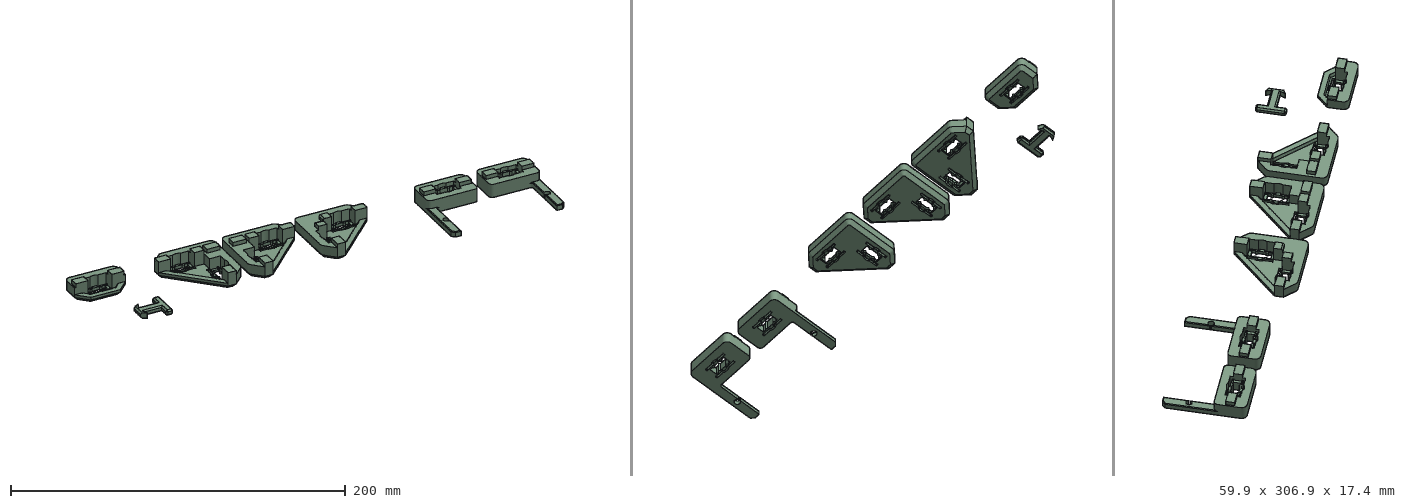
import cadquery as cq
import math

profile_width = 20.0
body_height = 9.1
ridge_height = 2.6
ridge_width = 5.5
groove_axis = profile_width / 2
ridge_near = groove_axis - ridge_width / 2
ridge_far = groove_axis + ridge_width / 2
ridge_inset = 0.95
corner_radius = 3.5
bottom_chamfer = 2.6
floor_height = 2.2
rim_height = 4.4
rim_width = 3.6
rim_overrun = 1.5
rim_slope = 0.6

slot_length = 16.0
slot_width = 9.4
bulge_diameter = 10.8
finger_gap = 1.3
finger_width = 0.9
finger_boss_length = 3.0
finger_boss_depth = 0.9
catch_diameter = 1.5
catch_offset = 3.3
shelf_length = 1.9
shelf_drop = 0.8

arm_block_length = 34.1
end_block_length = 34.5
arm_block_spring_top = body_height - 2.0

arm_reach = 31.51
arm_width = 5.8
arm_height = 3.6
arm_edge_chamfer = 0.5
arm_tip_chamfer = 2.0
arm_side_radius = 1.5
arm_hole_diameter = 3.8
arm_hole_from_block = 15.6
arm_hole_from_outer = 3.95
arm_corner_radius = 2.6

leg_length = 43.5
slot_from_corner = 27.4
spur_clearance = 1.9
spur_end = 1.9

clip_length = 19.5
clip_height = 3.8
bar_length = 18.6
bar_depth = 4.6
bar_chamfer = 1.0
shaft_width = 5.6
shaft_chamfer = 0.9
hook_span = 12.0
hook_nose_width = 8.0
hook_depth = 3.8
nose_chamfer = 1.1
barb_rise = 1.3

arm_block_x = 8.4
arm_block_z = 5.74
set_length = 306.93
front_arm_block_y = 230.7
rear_corner_y = 154.3
middle_corner_y = 105.3
front_corner_outer_y = 100.4
clip_x = 45.3
clip_y = 25.2


def box(x0, x1, y0, y1, z0, z1):
    """A box given by its limits."""
    return cq.Workplane("XY").box(x1 - x0, y1 - y0, z1 - z0, centered=False).translate((x0, y0, z0))


def slot_cutter():
    """The full opening of a clip slot, through floor and ridge."""
    top = body_height + ridge_height
    opening = cq.Workplane("XY").rect(slot_width, slot_length).extrude(top)
    return opening.union(cq.Workplane("XY").circle(bulge_diameter / 2).extrude(top))


def slot_springs(top):
    """Two spring fingers, up to the given top, and two lower cross shelves that hold the clip."""
    half_length = slot_length / 2
    outer = slot_width / 2 - finger_gap
    inner = outer - finger_width
    springs = box(-inner, inner, -half_length, -half_length + shelf_length, 0, top - shelf_drop)
    springs = springs.union(springs.mirror("XZ"))
    for side in (-1, 1):
        finger = cq.Workplane("XY").center(side * (inner + outer) / 2, 0)
        springs = springs.union(finger.rect(finger_width, slot_length).extrude(top))
        boss = cq.Workplane("XY").center(side * (outer + finger_boss_depth / 2), 0)
        springs = springs.union(boss.rect(finger_boss_depth, finger_boss_length).extrude(top))
        catches = cq.Workplane("XY").pushPoints([(side * inner, -catch_offset), (side * inner, catch_offset)])
        springs = springs.union(catches.circle(catch_diameter / 2).extrude(top))
    return springs


def add_slot(body, x, y, turn=0, spring_top=floor_height):
    """Cut a clip slot at (x, y) and put its springs in; turn is in degrees about Z."""
    def place(shape):
        return shape.rotate((0, 0, 0), (0, 0, 1), turn).translate((x, y, 0))
    return body.cut(place(slot_cutter())).union(place(slot_springs(spring_top)))


def open_pocket(outline, rim):
    """Cutter for a pocket open toward a low rim; both arguments are closed lists of points.

    The outline region is removed above the rim top. The rim region is removed down to
    the floor and shrinks by the rim slope on its way down; it reaches beyond the outline
    on the sides that have no rim, so that these sides stay upright.
    """
    full_depth = cq.Workplane("XY").polyline(outline).close().extrude(body_height + ridge_height)
    above_rim = full_depth.cut(cq.Workplane("XY").polyline(outline).close().extrude(rim_height))
    depth = rim_height - floor_height
    taper = math.degrees(math.atan2(rim_slope, depth))
    inside_rim = cq.Workplane("XY").workplane(offset=rim_height).polyline(rim).close()
    inside_rim = inside_rim.extrude(-depth, taper=taper)
    return above_rim.union(inside_rim.intersect(full_depth))


def make_arm_block():
    """Block with a slot and a notched arm along its -Y side; the arm points to +X."""
    block = box(0, profile_width, 0, arm_block_length, 0, body_height)
    block = block.edges("|Z and <X").fillet(corner_radius)
    block = block.edges("|Z and >X").fillet(arm_corner_radius)

    arm_end = profile_width + arm_reach
    arm = (
        cq.Workplane("XY")
        .moveTo(groove_axis, 0)
        .lineTo(arm_end - arm_tip_chamfer, 0)
        .lineTo(arm_end, arm_tip_chamfer)
        .lineTo(arm_end, arm_width)
        .lineTo(profile_width + arm_side_radius, arm_width)
        .radiusArc((profile_width, arm_width + arm_side_radius), arm_side_radius)
        .lineTo(groove_axis, arm_width + arm_side_radius)
        .close()
        .extrude(arm_height)
        .faces(">Z").edges().chamfer(arm_edge_chamfer)
    )
    hole = (
        cq.Workplane("XY")
        .center(profile_width + arm_hole_from_block, arm_hole_from_outer)
        .circle(arm_hole_diameter / 2)
        .extrude(arm_height)
    )
    ridge = box(ridge_near, ridge_far, ridge_inset, arm_block_length - ridge_inset,
                body_height, body_height + ridge_height)
    body = block.union(arm).cut(hole).union(ridge)
    return add_slot(body, groove_axis, arm_block_length / 2, spring_top=arm_block_spring_top)


def make_end_block():
    """Block with one slot; its +X side is bevelled and open down to a low rim."""
    bevel = profile_width - ridge_far
    outline = [
        (0, 0),
        (ridge_far, 0),
        (profile_width, bevel),
        (profile_width, end_block_length - bevel),
        (ridge_far, end_block_length),
        (0, end_block_length),
    ]
    body = cq.Workplane("XY").polyline(outline).close().extrude(body_height)
    body = body.edges("|Z and <X").fillet(corner_radius)
    body = body.faces("<Z").edges().chamfer(bottom_chamfer)
    ridge = box(ridge_near, ridge_far, ridge_inset, end_block_length - ridge_inset,
                body_height, body_height + ridge_height)
    body = body.union(ridge)

    rim_x = profile_width - rim_width
    rim_back = ridge_far - rim_overrun
    rim_start = rim_width * math.sqrt(2) - rim_overrun
    rim_bend = rim_start + rim_x - rim_back
    rim = [
        (rim_back, rim_start),
        (rim_x, rim_bend),
        (rim_x, end_block_length - rim_bend),
        (rim_back, end_block_length - rim_start),
    ]
    body = body.cut(open_pocket(outline[1:5], rim))
    return add_slot(body, groove_axis, end_block_length / 2)


def make_corner(mitred_ridges):
    """Bracket with legs along +X and +Y from a corner at the origin.

    With mitred ridges, each leg has a ridge that stops, sloped, before the corner.
    Otherwise the ridge of the Y leg goes on to the corner and the X leg has only its tip ridge.
    """
    bevel_start = leg_length - ridge_near
    outline = [
        (0, 0),
        (bevel_start, 0),
        (leg_length, ridge_near),
        (leg_length, ridge_far),
        (ridge_far, leg_length),
        (ridge_near, leg_length),
        (0, bevel_start),
    ]
    body = cq.Workplane("XY").polyline(outline).close().extrude(body_height)
    rounded = cq.selectors.BoxSelector((-1, -1, 0), (1, leg_length, body_height))
    rounded += cq.selectors.BoxSelector((0, -1, 0), (bevel_start + 1, 1, body_height))
    body = body.edges("|Z").edges(rounded).fillet(corner_radius)
    body = body.faces("<Z").edges().chamfer(bottom_chamfer)

    top = body_height + ridge_height
    tip_start = slot_from_corner
    body = body.union(box(ridge_near, ridge_far, tip_start, leg_length, body_height, top))
    body = body.union(box(tip_start, leg_length, ridge_near, ridge_far, body_height, top))
    if mitred_ridges:
        ridge = box(ridge_near, ridge_far, ridge_far + ridge_inset, tip_start, body_height, top)
        ridge = ridge.faces("<Y").edges(">Z").chamfer(ridge_inset)
        across = ridge.mirror("YZ").rotate((0, 0, 0), (0, 0, 1), -90)
        body = body.union(ridge).union(across)
    else:
        body = body.union(box(ridge_near, ridge_far, ridge_far, tip_start, body_height, top))
        body = body.union(box(ridge_near, ridge_far, spur_end, ridge_far - spur_clearance, body_height, top))

    pocket = [(ridge_far, ridge_far), (leg_length, ridge_far), (ridge_far, leg_length)]
    rim_near = ridge_far - rim_overrun
    rim_far = leg_length - rim_width * math.sqrt(2) + rim_overrun
    rim = [(rim_near, rim_near), (rim_far, rim_near), (rim_near, rim_far)]
    body = body.cut(open_pocket(pocket, rim))
    body = add_slot(body, groove_axis, slot_from_corner)
    return add_slot(body, slot_from_corner, groove_axis, turn=90)


def make_clip():
    """Flat clip along Y: a hooked nose at y = 0, a shaft and a cross bar."""
    bar = box(-bar_length / 2, bar_length / 2, clip_length - bar_depth, clip_length, 0, clip_height)
    bar = bar.edges().chamfer(bar_chamfer)
    shaft = box(-shaft_width / 2, shaft_width / 2, nose_chamfer, clip_length - bar_depth / 2, 0, clip_height)
    shaft = shaft.edges("|Y").chamfer(shaft_chamfer)
    right_side = [
        (hook_nose_width / 2, 0),
        (hook_span / 2, hook_depth),
        (shaft_width / 2, hook_depth - barb_rise),
    ]
    left_side = [(-x, y) for x, y in reversed(right_side)]
    hook = cq.Workplane("XY").polyline(right_side + left_side).close().extrude(clip_height)
    hook = hook.edges("|X and <Y").chamfer(nose_chamfer)
    return bar.union(shaft).union(hook)


front_arm_block = make_arm_block().translate((arm_block_x, front_arm_block_y, arm_block_z))
rear_arm_block = make_arm_block().mirror("XZ").translate((arm_block_x, set_length, arm_block_z))
rear_corner = make_corner(mitred_ridges=True).translate((0, rear_corner_y, 0))
middle_corner = make_corner(mitred_ridges=False).translate((0, middle_corner_y, 0))
front_corner = make_corner(mitred_ridges=False).mirror("XZ").translate((0, front_corner_outer_y, 0))
end_block = make_end_block()
clip = make_clip().translate((clip_x, clip_y, 0))

bodies = [front_arm_block, rear_arm_block, rear_corner, middle_corner, front_corner, end_block, clip]
result = cq.Compound.makeCompound([body.val() for body in bodies])